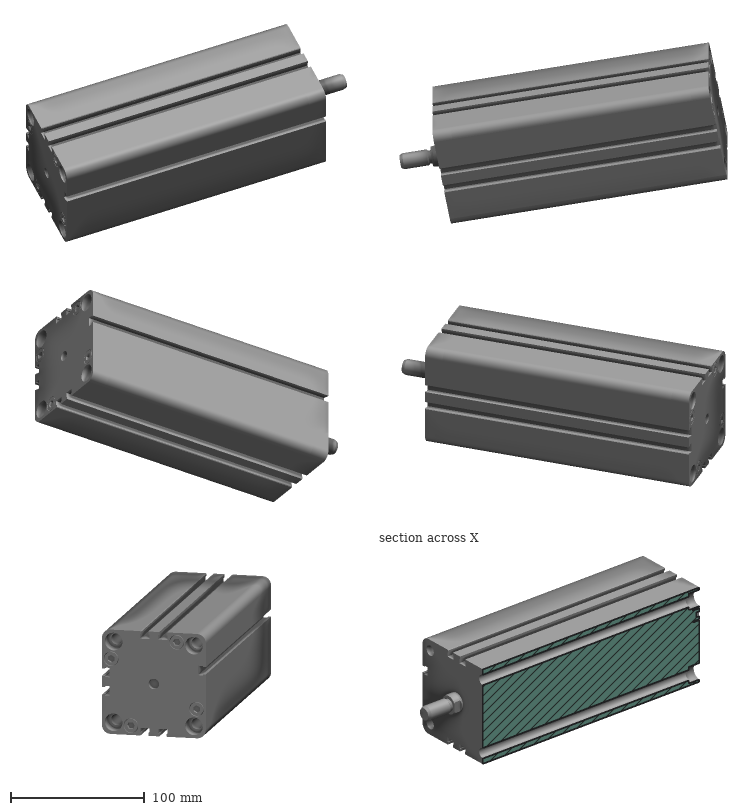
import cadquery as cq
import math

side = 80.0
housing_length = 210.0
cap_length = 14.0
corner_radius = 6.8
half_side = side / 2

slot_mouth = 5.5
slot_inner = 7.2
slot_lip = 2.2
slot_depth = 5.8
slot_edge_chamfer = 0.5
slot_offset = 7.0
single_slot_offset = 12.0

mount_offset = 31.0
mount_diameter = 8.5
mount_bore_diameter = 13.5
mount_bore_depth = 10.0

screw_near = 17.6
screw_far = 32.8
screw_head_diameter = 10.5
screw_bore_diameter = 11.0
screw_head_height = 6.0
socket_width = 5.0
socket_depth = 3.0

center_hole_diameter = 8.0
center_hole_depth = 4.0

rod_diameter = 16.0
rod_length = 7.5
rod_chamfer_length = 1.7
rod_chamfer_depth = 0.5
flat_width = 13.0
flat_start = 2.0
flat_runout = 1.0
neck_diameter = 10.0
thread_diameter = 12.0
thread_start = 10.6
thread_runout = 1.0
tip_chamfer_length = 2.5
tip_diameter = 10.0
rod_total = 31.5


def along_y(start):
    """Sketch plane at Y = start, with X to the right and Z up; negative extrusions run toward +Y."""
    return cq.Workplane("XZ", origin=(0, start, 0))


def sensor_slot(offset):
    """T-slot in the +Z side, centered at X = offset."""
    half_mouth = slot_mouth / 2
    half_inner = slot_inner / 2
    lip_bottom = half_side - slot_lip
    slot_bottom = half_side - slot_depth
    return (
        along_y(0)
        .moveTo(offset - half_mouth, half_side)
        .lineTo(offset - half_mouth, lip_bottom)
        .lineTo(offset - half_inner, lip_bottom)
        .lineTo(offset - half_inner, slot_bottom)
        .lineTo(offset + half_inner, slot_bottom)
        .lineTo(offset + half_inner, lip_bottom)
        .lineTo(offset + half_mouth, lip_bottom)
        .lineTo(offset + half_mouth, half_side)
        .close()
        .extrude(-housing_length)
    )


def slot_pair():
    """Two slots side by side in the +Z side, each with its outer edge chamfered."""
    mouth_edge = slot_offset + slot_mouth / 2
    edge_break = (
        along_y(0)
        .moveTo(mouth_edge, half_side - slot_edge_chamfer)
        .lineTo(mouth_edge + slot_edge_chamfer, half_side)
        .lineTo(mouth_edge, half_side)
        .close()
        .extrude(-housing_length)
    )
    slot = sensor_slot(slot_offset).union(edge_break)
    return slot.union(slot.mirror("YZ"))


def turned(shape, angle):
    """Shape turned about the housing axis."""
    return shape.rotate((0, 0, 0), (0, 1, 0), angle)


def housing_section(start, length):
    """Length of slotted profile: slot pairs on the +Z, -Z and -X sides, a single slot on the +X side."""
    section = along_y(start).rect(side, side).extrude(-length).edges("|Y").fillet(corner_radius)
    for turn in (0, 180, 270):
        section = section.cut(turned(slot_pair(), turn))
    return section.cut(turned(sensor_slot(-single_slot_offset), 90))


def screw_recess():
    """Gap around one screw head plus its hexagonal socket."""
    center = along_y(0).center(screw_near, screw_far)
    gap = center.circle(screw_bore_diameter / 2).circle(screw_head_diameter / 2).extrude(-screw_head_height)
    socket_across_corners = socket_width / math.cos(math.pi / 6)
    socket = center.polygon(6, socket_across_corners).extrude(-socket_depth)
    return gap.union(socket)


def piston_rod():
    """Turned rod with an undercut, a plain thread cylinder and two wrench flats."""
    rod_radius = rod_diameter / 2
    neck_radius = neck_diameter / 2
    thread_radius = thread_diameter / 2
    rod = (
        cq.Workplane("XY", origin=(0, housing_length, 0))
        .lineTo(rod_radius, 0)
        .lineTo(rod_radius, rod_length - rod_chamfer_length)
        .lineTo(rod_radius - rod_chamfer_depth, rod_length)
        .lineTo(neck_radius, rod_length)
        .lineTo(neck_radius, thread_start - thread_runout)
        .lineTo(thread_radius, thread_start)
        .lineTo(thread_radius, rod_total - tip_chamfer_length)
        .lineTo(tip_diameter / 2, rod_total)
        .lineTo(0, rod_total)
        .close()
        .revolve(360, (0, 0, 0), (0, 1, 0))
    )
    flat_cut = (
        cq.Workplane("XY", origin=(0, housing_length, 0))
        .moveTo(flat_width / 2, flat_start)
        .lineTo(rod_radius, flat_start - flat_runout)
        .lineTo(rod_radius, rod_length)
        .lineTo(flat_width / 2, rod_length)
        .close()
        .extrude(rod_radius, both=True)
    )
    return rod.cut(flat_cut).cut(flat_cut.mirror("YZ"))


barrel_length = housing_length - 2 * cap_length
housing = housing_section(0, cap_length)
housing = housing.union(housing_section(cap_length, barrel_length), clean=False)
housing = housing.union(housing_section(housing_length - cap_length, cap_length), clean=False)

mounts = along_y(0).rect(2 * mount_offset, 2 * mount_offset, forConstruction=True).vertices()
housing = housing.cut(mounts.circle(mount_diameter / 2).extrude(-housing_length), clean=False)
housing = housing.cut(mounts.circle(mount_bore_diameter / 2).extrude(-mount_bore_depth), clean=False)

for turn in (0, 90, 180, 270):
    housing = housing.cut(turned(screw_recess(), turn), clean=False)

center_hole = along_y(0).circle(center_hole_diameter / 2).extrude(-center_hole_depth)
housing = housing.cut(center_hole, clean=False)

result = housing.union(piston_rod(), clean=False)